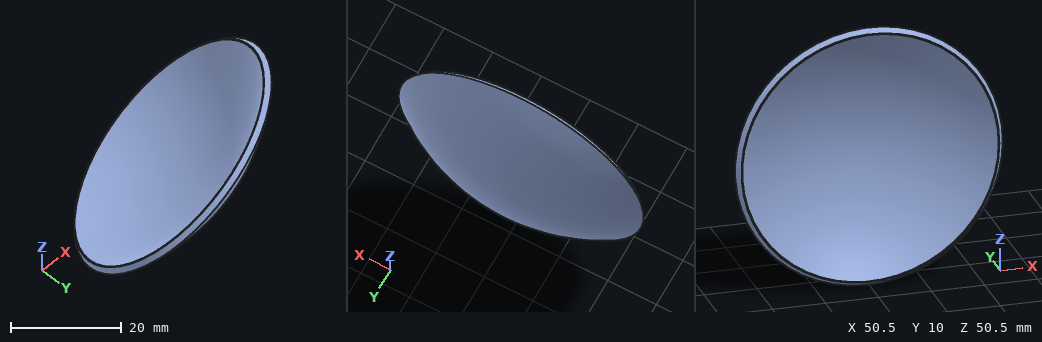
import cadquery as cq

outer_radius = 25.25
height = 10.0
bevel_height = 1.0
bevel_width = 0.9
lip_width = 0.2

lip_radius = outer_radius - bevel_width
mouth_radius = lip_radius - lip_width

dome_rise = height - bevel_height
sphere_radius = (outer_radius**2 + dome_rise**2) / (2 * dome_rise)
sphere_center_y = height - sphere_radius

inner_sphere_radius = (mouth_radius**2 + sphere_center_y**2) ** 0.5


def sphere_point(radius, distance_from_axis):
    """Point on the +Y side of a sphere profile sharing the common center."""
    return (distance_from_axis, sphere_center_y + (radius**2 - distance_from_axis**2) ** 0.5)


inner_apex_y = sphere_center_y + inner_sphere_radius
outer_middle = sphere_point(sphere_radius, outer_radius / 2)
inner_middle = sphere_point(inner_sphere_radius, mouth_radius / 2)

profile = (
    cq.Workplane("XY")
    .moveTo(mouth_radius, 0)
    .lineTo(lip_radius, 0)
    .lineTo(outer_radius, bevel_height)
    .threePointArc(outer_middle, (0, height))
    .lineTo(0, inner_apex_y)
    .threePointArc(inner_middle, (mouth_radius, 0))
    .close()
)

result = profile.revolve(360, (0, 0, 0), (0, 1, 0))